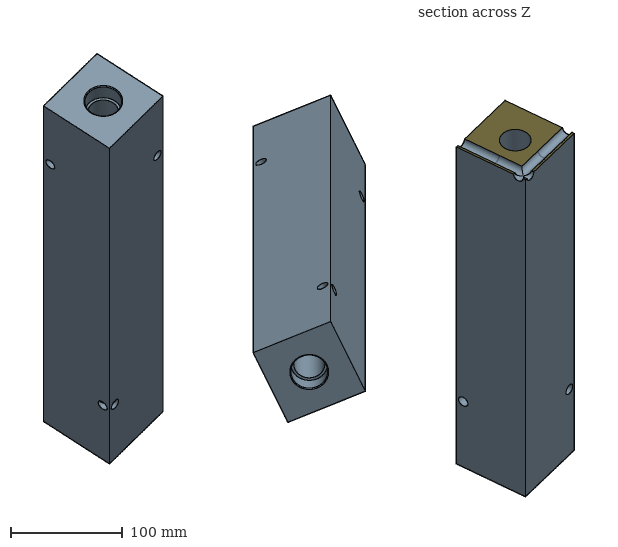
import cadquery as cq

bar_width = 76.0
bar_length = 463.5

bore_diameter = 28.0
port_diameter = 33.0
port_depth = 16.5
port_chamfer = 1.0

cross_hole_diameter = 10.0
cross_hole_edge_distance = 8.0
cross_hole_spacing = 304.5

cross_hole_offset = bar_width / 2 - cross_hole_edge_distance


def make_bar():
    return cq.Workplane("XY").box(bar_width, bar_width, bar_length)


def make_bore():
    """Through bore along Z, with an identical chamfered port sunk into each end."""
    bore_radius = bore_diameter / 2
    port_radius = port_diameter / 2
    mouth_radius = port_radius + port_chamfer
    end_height = bar_length / 2
    chamfer_height = end_height - port_chamfer
    floor_height = end_height - port_depth
    return (
        cq.Workplane("XZ")
        .moveTo(0, -end_height)
        .lineTo(mouth_radius, -end_height)
        .lineTo(port_radius, -chamfer_height)
        .lineTo(port_radius, -floor_height)
        .lineTo(bore_radius, -floor_height)
        .lineTo(bore_radius, floor_height)
        .lineTo(port_radius, floor_height)
        .lineTo(port_radius, chamfer_height)
        .lineTo(mouth_radius, end_height)
        .lineTo(0, end_height)
        .close()
        .revolve(360, (0, 0, 0), (0, 1, 0))
    )


def make_cross_hole(plane, offset, height):
    """Through hole along the normal of a vertical plane, at a sideways offset and a height."""
    return (
        cq.Workplane(plane)
        .center(offset, height)
        .circle(cross_hole_diameter / 2)
        .extrude(bar_width / 2, both=True)
    )


result = make_bar().cut(make_bore())

for end in (-1, 1):
    height = end * cross_hole_spacing / 2
    result = result.cut(make_cross_hole("XZ", -end * cross_hole_offset, height))
    result = result.cut(make_cross_hole("YZ", end * cross_hole_offset, height))